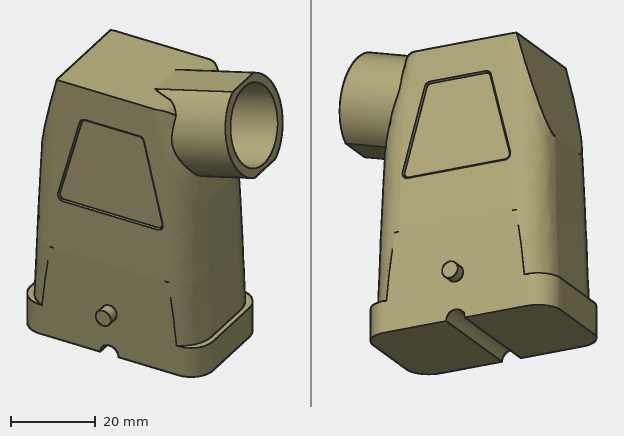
import cadquery as cq
import math

BASE_LENGTH = 49.7
DEPTH = 29.2
BASE_HEIGHT = 8.1
BASE_CORNER_R = 6.0
NOTCH_D = 5.0

WAIST_Z = 25.0
TOP_Z = 70.85
FOOT_SECTION = (47.05, 30.4, 8.3)
WAIST_SECTION = (45.75, DEPTH, 7.65)
TOP_SECTION = (42.7, 26.0, 7.65)

TOP_FACE_LENGTH = 30.6
SHOULDER_Z = 45.5
SHOULDER_LENGTH = 44.4
SHOULDER_FILLET = 4.2

PIN_D = 4.1
PIN_Z = 11.6
PIN_SPAN = 35.0

LABEL_Z = 38.4
LABEL_HEIGHT = 23.95
LABEL_BOTTOM_WIDTH = 29.5
LABEL_TOP_WIDTH = 17.0
LABEL_CORNER_R = 1.5
LABEL_DEPTH = 0.4
LABEL_WALL_ANGLE = 45.0

ENTRY_TILT = 15.0
ENTRY_D = 25.0
ENTRY_FLAT_HEIGHT = 22.95
ENTRY_BORE_D = 20.4
ENTRY_LENGTH = 22.95
BORE_DEPTH = 15.3
TOTAL_HEIGHT = 76.5
TOTAL_LENGTH = 58.9


def rounded_section(z, section):
    """Closed wire of a rounded rectangle at height z."""
    length, depth, radius = section
    plate = cq.Workplane("XY", origin=(0, 0, z)).rect(length, depth).extrude(radius)
    return plate.edges("|Z").fillet(radius).faces("<Z").wires().val()


def rounded_loft(z_low, low, z_high, high):
    """Straight-walled solid between two rounded rectangles."""
    wires = [rounded_section(z_low, low), rounded_section(z_high, high)]
    return cq.Workplane(cq.Solid.makeLoft(wires, True))


def make_base():
    base = cq.Workplane("XY").rect(BASE_LENGTH, DEPTH).extrude(BASE_HEIGHT)
    return base.edges("|Z").fillet(BASE_CORNER_R)


def make_skirt():
    """Flared lower hood, with its long sides cut flush with the base."""
    skirt = rounded_loft(BASE_HEIGHT, FOOT_SECTION, WAIST_Z, WAIST_SECTION)
    slab = cq.Workplane("XY").box(BASE_LENGTH, DEPTH, TOP_Z, centered=(True, True, False))
    return skirt.intersect(slab)


def make_upper():
    """Upper hood in two mirrored halves, with sloped shoulders; the +X one is rounded."""
    upper = rounded_loft(WAIST_Z, WAIST_SECTION, TOP_Z, TOP_SECTION)
    slope = (SHOULDER_LENGTH - TOP_FACE_LENGTH) / (TOP_Z - SHOULDER_Z)
    wedge_length = TOP_FACE_LENGTH + slope * (TOP_Z - WAIST_Z)
    wedge = (
        cq.Workplane("XY").workplane(offset=WAIST_Z).rect(wedge_length, 2 * DEPTH)
        .workplane(offset=TOP_Z - WAIST_Z).rect(TOP_FACE_LENGTH, 2 * DEPTH)
        .loft(ruled=True)
    )
    upper = upper.intersect(wedge)
    shoulder_middle = ((TOP_FACE_LENGTH + SHOULDER_LENGTH) / 4, 0, (TOP_Z + SHOULDER_Z) / 2)
    entry_shoulder = upper.faces(cq.selectors.NearestToPointSelector(shoulder_middle))
    rounded = entry_shoulder.edges("not <Z").fillet(SHOULDER_FILLET)
    front_half = rounded.copyWorkplane(cq.Workplane("XZ")).split(keepTop=True)
    return front_half.union(front_half.mirror("XZ"))


def make_pins():
    return cq.Workplane("XZ", origin=(0, PIN_SPAN / 2, PIN_Z)).circle(PIN_D / 2).extrude(PIN_SPAN)


def make_label_recess():
    """Cutter for the trapezoidal recess in the -Y side, parallel to the drafted wall."""
    draft = (WAIST_SECTION[1] - TOP_SECTION[1]) / 2 / (TOP_Z - WAIST_Z)
    wall_y = -WAIST_SECTION[1] / 2 + draft * (LABEL_Z - WAIST_Z)
    wall = cq.Plane(origin=(0, wall_y, LABEL_Z), xDir=(1, 0, 0), normal=(0, -1, draft))
    half_bottom = LABEL_BOTTOM_WIDTH / 2
    half_top = LABEL_TOP_WIDTH / 2
    outline = cq.Sketch().polygon([
        (-half_bottom, 0),
        (half_bottom, 0),
        (half_top, LABEL_HEIGHT),
        (-half_top, LABEL_HEIGHT),
        (-half_bottom, 0),
    ]).vertices().fillet(LABEL_CORNER_R)
    return cq.Workplane(wall).placeSketch(outline).extrude(-LABEL_DEPTH, taper=LABEL_WALL_ANGLE)


def entry_plane():
    """Plane on the outer end of the cable entry, facing outwards."""
    tilt = math.radians(ENTRY_TILT)
    half_flat = ENTRY_FLAT_HEIGHT / 2
    centre_x = TOTAL_LENGTH - BASE_LENGTH / 2 - half_flat * math.sin(tilt)
    centre_z = TOTAL_HEIGHT - half_flat * math.cos(tilt)
    normal = (math.cos(tilt), 0, math.sin(tilt))
    return cq.Plane(origin=(centre_x, 0, centre_z), xDir=(0, 1, 0), normal=normal)


def make_entry():
    pipe = cq.Workplane(entry_plane()).circle(ENTRY_D / 2).extrude(-ENTRY_LENGTH)
    flats = cq.Workplane(entry_plane()).rect(ENTRY_D, ENTRY_FLAT_HEIGHT).extrude(-ENTRY_LENGTH)
    return pipe.intersect(flats)


def make_bore():
    return cq.Workplane(entry_plane()).circle(ENTRY_BORE_D / 2).extrude(-BORE_DEPTH)


def make_notch():
    return cq.Workplane("XZ", origin=(0, DEPTH / 2, 0)).circle(NOTCH_D / 2).extrude(DEPTH)


recess = make_label_recess()
upper = make_upper().cut(recess).cut(recess.mirror("XZ"))
hood = make_base().union(make_skirt()).union(upper)
hood = hood.union(make_entry()).union(make_pins())
result = hood.cut(make_bore()).cut(make_notch())